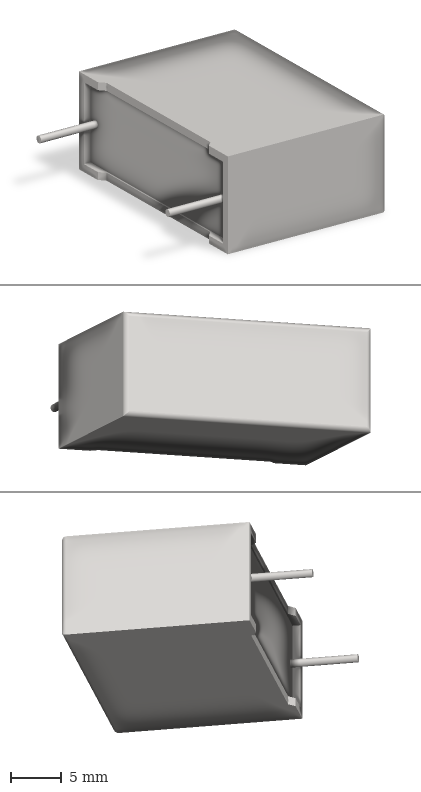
import cadquery as cq

length = 26.0
height = 10.5
depth = 19.0
wall = 0.85
back_fillet = 0.5

relief_depth = 0.62
relief_floor_length = 18.1
relief_mouth_length = 19.4

potting_recess = 0.8

lead_diameter = 0.8
lead_pitch = 22.5
lead_protrusion = 6.0
lead_embedment = 2.6

potting_back = depth - wall
inner_length = length - 2 * wall
inner_height = height - 2 * wall
lead_positions = [-lead_pitch / 2, lead_pitch / 2]


def block(size_x, size_z, y_start, y_end):
    """Box centred on the Y axis between two Y positions."""
    size_y = y_end - y_start
    return cq.Workplane("XY").box(size_x, size_y, size_z).translate((0, (y_start + y_end) / 2, 0))


def make_lead(x):
    """Straight round wire along Y, ending inside the potting."""
    end = potting_recess + lead_embedment
    return (
        cq.Workplane("XZ", origin=(x, end, 0))
        .circle(lead_diameter / 2)
        .extrude(end + lead_protrusion)
    )


def make_rim_relief():
    """Trapezoidal cutter that lowers the middle of the long front rims."""
    return (
        cq.Workplane("XY")
        .polyline([
            (-relief_mouth_length / 2, 0),
            (relief_mouth_length / 2, 0),
            (relief_floor_length / 2, relief_depth),
            (-relief_floor_length / 2, relief_depth),
        ])
        .close()
        .extrude(height / 2, both=True)
    )


def make_housing():
    """Box shell with rounded back edges and a relieved front rim."""
    shell = block(length, height, 0, depth)
    rounded = shell.faces(">Y").edges().fillet(back_fillet)
    cavity = block(inner_length, inner_height, 0, potting_back)
    return rounded.cut(cavity).cut(make_rim_relief())


def make_potting(leads):
    """Solid filling with a hole for each lead."""
    potting = block(inner_length, inner_height, potting_recess, potting_back)
    for lead in leads:
        potting = potting.cut(lead)
    return potting


leads = [make_lead(x) for x in lead_positions]
housing = make_housing()
potting = make_potting(leads)

result = cq.Compound.makeCompound([housing.val(), potting.val(), *[lead.val() for lead in leads]])